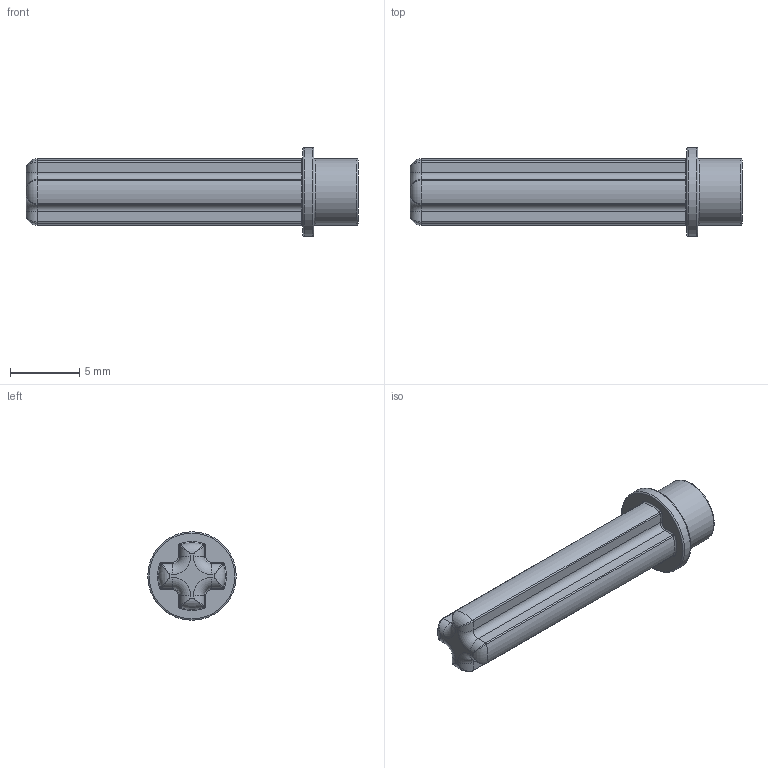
import math

import cadquery as cq

total_length = 24.0
shaft_length = 20.0
flange_thickness = 0.8
shaft_radius = 2.4
flange_radius = 3.2
arm_width = 1.8
valley_radius = 0.5
tip_radius = 0.8
edge_radius = 0.1

tolerance = 0.01
stub_length = total_length - shaft_length - flange_thickness


def cylinder_along_x(start, radius, length):
    return cq.Workplane("YZ", origin=(start, 0, 0)).circle(radius).extrude(length)


def distance_from_axis(edge):
    center = edge.Center()
    return math.hypot(center.y, center.z)


def is_arm_corner(edge):
    """True for the lengthwise edges where an arm's sides meet its outer face."""
    center = edge.Center()
    off_middle = min(abs(center.y), abs(center.z)) > tolerance
    return off_middle and distance_from_axis(edge) > shaft_radius - tolerance


def make_shaft():
    """Cross-shaped axle with rounded valleys, tip and arm corners."""
    diameter = 2 * shaft_radius
    upright_arms = cq.Workplane("YZ").rect(arm_width, diameter).extrude(shaft_length)
    level_arms = cq.Workplane("YZ").rect(diameter, arm_width).extrude(shaft_length)
    cross = upright_arms.union(level_arms)
    valleys = cross.edges("|X").filter(lambda edge: distance_from_axis(edge) < arm_width)
    cross = valleys.fillet(valley_radius)
    shaft = cross.intersect(cylinder_along_x(0, shaft_radius, shaft_length))
    shaft = shaft.faces("<X").edges().fillet(tip_radius)
    return shaft.edges("|X").filter(is_arm_corner).fillet(edge_radius)


def make_head():
    """Flange and end stub, with every rim and the inside corner rounded."""
    flange = cylinder_along_x(shaft_length, flange_radius, flange_thickness)
    stub = cylinder_along_x(shaft_length + flange_thickness, shaft_radius, stub_length)
    return flange.union(stub).edges("%CIRCLE").fillet(edge_radius)


def is_shaft_root(edge):
    """True for edges of the cross outline lying in the flange's front face."""
    box = edge.BoundingBox()
    in_front_face = max(abs(box.xmin - shaft_length), abs(box.xmax - shaft_length)) < tolerance
    reach = max(box.ymax, -box.ymin, box.zmax, -box.zmin)
    return in_front_face and reach < shaft_radius + tolerance


result = make_shaft().union(make_head())
result = result.edges().filter(is_shaft_root).fillet(edge_radius)